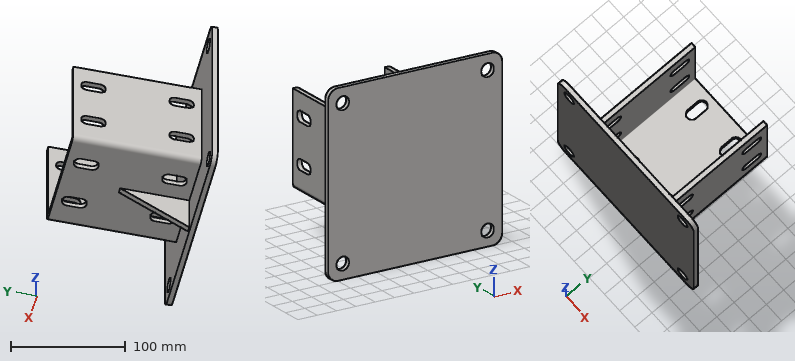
import cadquery as cq

plate_side = 180.0
plate_thickness = 5.0
plate_corner_radius = 10.0
plate_hole_diameter = 13.0
plate_hole_edge_distance = 15.1

overall_depth = 120.0
channel_width = 100.0
channel_wall = 5.0
channel_bottom = -49.1
channel_top = 45.0
bend_outer_radius = 5.4
bend_inner_radius = 0.4

slot_length = 22.0
slot_width = 10.5
slot_spacing_across = 45.0
slot_spacing_along = 79.0
slot_end_distance = 18.0

gusset_thickness = 5.0
gusset_length = 62.0
gusset_height = 35.5

hole_pitch = plate_side - 2 * plate_hole_edge_distance
channel_length = overall_depth - plate_thickness
slot_rows = [
    overall_depth - slot_end_distance - slot_spacing_along,
    overall_depth - slot_end_distance,
]
slot_offsets = [-slot_spacing_across / 2, slot_spacing_across / 2]
slot_centers = [(offset, row) for offset in slot_offsets for row in slot_rows]


def make_plate():
    return (
        cq.Workplane("XZ")
        .rect(plate_side, plate_side)
        .extrude(-plate_thickness)
        .edges("|Y")
        .fillet(plate_corner_radius)
        .faces("<Y")
        .workplane(origin=(0, 0, 0))
        .rect(hole_pitch, hole_pitch, forConstruction=True)
        .vertices()
        .hole(plate_hole_diameter)
    )


def channel_block(width, bottom, bend_radius):
    """Upright block with its two lower lengthwise edges rounded."""
    height = channel_top - bottom
    return (
        cq.Workplane("XY")
        .box(width, channel_length, height, centered=(True, False, False))
        .edges("|Y and <Z")
        .fillet(bend_radius)
        .translate((0, plate_thickness, bottom))
    )


def make_channel():
    outside = channel_block(channel_width, channel_bottom, bend_outer_radius)
    inside = channel_block(
        channel_width - 2 * channel_wall, channel_bottom + channel_wall, bend_inner_radius
    )
    return outside.cut(inside)


def make_floor_slots():
    return (
        cq.Workplane("XY", origin=(0, 0, channel_bottom))
        .pushPoints(slot_centers)
        .slot2D(slot_length, slot_width, angle=90)
        .extrude(channel_wall)
    )


def make_wall_slots():
    """Slots cut straight across the channel, through both side walls."""
    return (
        cq.Workplane("YZ")
        .pushPoints([(row, offset) for offset, row in slot_centers])
        .slot2D(slot_length, slot_width)
        .extrude(channel_width / 2, both=True)
    )


def make_gusset():
    return (
        cq.Workplane("YZ")
        .moveTo(plate_thickness, channel_bottom)
        .lineTo(plate_thickness + gusset_length, channel_bottom)
        .lineTo(plate_thickness, channel_bottom - gusset_height)
        .close()
        .extrude(gusset_thickness / 2, both=True)
    )


channel = make_channel().cut(make_floor_slots()).cut(make_wall_slots())
result = make_plate().union(channel).union(make_gusset())